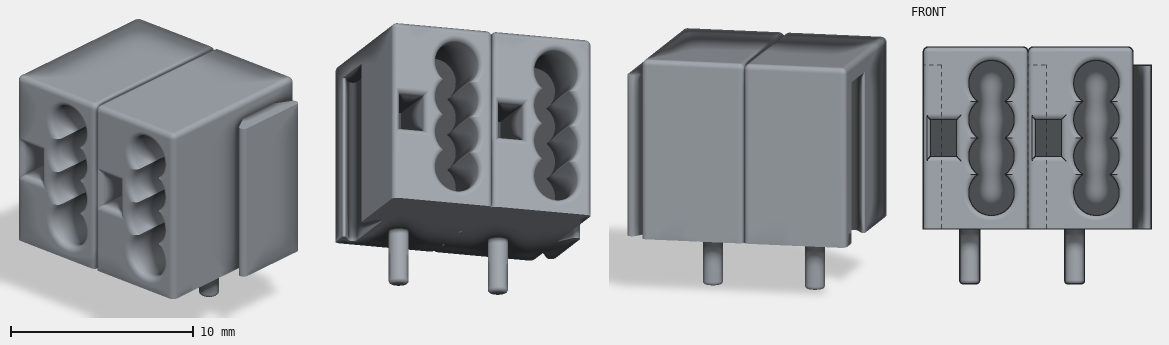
import cadquery as cq
import math


row_length = 12.5
overall_height = 13
module_count = 2
dovetail_reach = 1.0
module_width = (row_length - dovetail_reach) / module_count
module_depth = 10.0
module_height = 10.0
front_y = -module_depth / 2

edge_radius = 0.3

bore_count = 4
bore_radius = 1.25
bore_spacing = 2.0
bore_x = 3.75
bore_centre_z = module_height / 2
opening_depth = 4.0

window_left = 0.4
window_width = 1.42
window_height = 2.0
window_centre_z = module_height / 2

dovetail_base_width = 2.5
dovetail_flank_angle = 60
dovetail_radius = 0.25
dovetail_height = 9.0
dovetail_y = 2.0
slot_lip_radius = 0.1
dovetail_end_width = dovetail_base_width + 2 * dovetail_reach * math.tan(math.radians(dovetail_flank_angle))

pick_margin = 0.01

pin_diameter = 1.1
pin_length = overall_height - module_height
pin_tip_radius = 0.2
pin_x = 2.55
pin_y = 1.53


def dovetail(base_x):
    """Dovetail prism that widens toward +X from its base, with rounded outer corners."""
    half_base = dovetail_base_width / 2
    half_end = dovetail_end_width / 2
    end_x = base_x + dovetail_reach
    outline = [
        (base_x, dovetail_y - half_base),
        (end_x, dovetail_y - half_end),
        (end_x, dovetail_y + half_end),
        (base_x, dovetail_y + half_base),
    ]
    prism = cq.Workplane("XY").polyline(outline).close().extrude(dovetail_height)
    return prism.edges("|Z and >X").fillet(dovetail_radius)


def plain_block():
    """Sharp-edged module block."""
    return cq.Workplane("XY").box(module_width, module_depth, module_height, centered=(False, True, False))


def rounded_block():
    """Module block rounded everywhere except around its bottom face."""
    return plain_block().edges("|Z or >Z").fillet(edge_radius)


def cut_slot(body):
    """Dovetail slot in the left face, open at the bottom, with rounded lips."""
    half_base = dovetail_base_width / 2
    lip_zone = cq.selectors.BoxSelector(
        (-pick_margin, dovetail_y - half_base - pick_margin, 0),
        (pick_margin, dovetail_y + half_base + pick_margin, dovetail_height),
    )
    slotted = body.cut(dovetail(0))
    return slotted.edges("|Z").edges(lip_zone).fillet(slot_lip_radius)


def wire_bores():
    """Stack of overlapping bores running back from the front face."""
    offsets = [(i - (bore_count - 1) / 2) * bore_spacing for i in range(bore_count)]
    front = cq.Workplane("XZ", origin=(bore_x, front_y, bore_centre_z))
    return front.pushPoints([(0, dz) for dz in offsets]).circle(bore_radius).extrude(-opening_depth)


def window():
    """Rectangular opening running back from the front face."""
    front = cq.Workplane("XZ", origin=(window_left + window_width / 2, front_y, window_centre_z))
    return front.rect(window_width, window_height).extrude(-opening_depth)


def block_with_openings():
    """Sharp-edged block with the front openings and their rounded rims."""
    body = plain_block().cut(wire_bores()).cut(window())
    rim_zone = cq.selectors.BoxSelector(
        (pick_margin, front_y - pick_margin, pick_margin),
        (module_width - pick_margin, front_y + pick_margin, module_height - pick_margin),
    )
    return body.edges(rim_zone).fillet(edge_radius)


def pin():
    """Round solder pin below the module, rounded at its tip."""
    shaft = cq.Workplane("XY", origin=(pin_x, pin_y, 0)).circle(pin_diameter / 2).extrude(-pin_length)
    return shaft.faces("<Z").fillet(pin_tip_radius)


def module():
    """One complete module; the rounded block trims the window rim where it meets the left corner."""
    housing = block_with_openings().intersect(rounded_block())
    return cut_slot(housing).union(dovetail(module_width)).union(pin())


modules = [module().translate((i * module_width, 0, 0)) for i in range(module_count)]

result = cq.Compound.makeCompound([m.val() for m in modules])